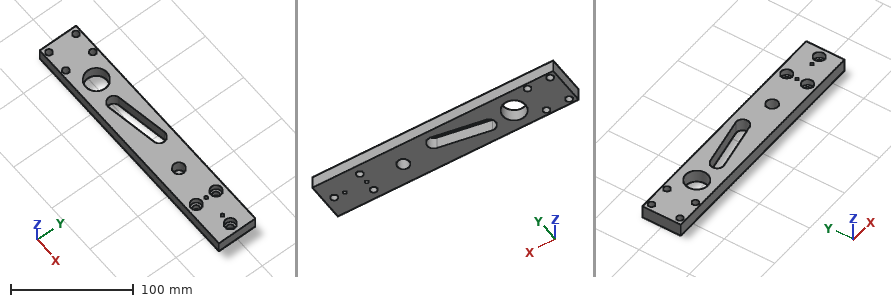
import cadquery as cq
import math

length = 235.0
width = 38.0
thickness = 12.7

corner_hole_diameter = 6.3
corner_hole_offsets = (6.0, 28.2)
corner_hole_half_spacing = 14.0

large_bore = (50.5, 22.0)
small_bore = (158.5, 11.3)

slot_width = 12.5
slot_start_offset = 76.4
slot_start_y = -2.3
slot_end_offset = 125.0
slot_end_y = 6.0

screw_pair_offset = 194.3
screw_pair_half_spacing = 10.3
end_screw_offset = 226.0
screw_diameter = 6.3
counterbore_diameter = 10.8
counterbore_depth = 6.3
dowel_diameter = 3.0
dowel_offsets = (screw_pair_offset, 215.7)


def at(offset, y=0.0):
    """Point at a distance from the left end of the plate."""
    return (offset - length / 2, y)


def cylinders(points, diameter, bottom=0.0):
    """Vertical cutters from the bottom level to the top face."""
    return (
        cq.Workplane("XY", origin=(0, 0, bottom))
        .pushPoints(points)
        .circle(diameter / 2)
        .extrude(thickness - bottom)
    )


def inclined_slot():
    """Through cutter for the slot with round ends."""
    run = slot_end_offset - slot_start_offset
    rise = slot_end_y - slot_start_y
    middle = at(
        (slot_start_offset + slot_end_offset) / 2,
        (slot_start_y + slot_end_y) / 2,
    )
    overall_length = math.hypot(run, rise) + slot_width
    angle = math.degrees(math.atan2(rise, run))
    return (
        cq.Workplane("XY")
        .center(*middle)
        .slot2D(overall_length, slot_width, angle)
        .extrude(thickness)
    )


corner_points = [
    at(offset, side * corner_hole_half_spacing)
    for offset in corner_hole_offsets
    for side in (-1, 1)
]
screw_points = [
    at(screw_pair_offset, -screw_pair_half_spacing),
    at(screw_pair_offset, screw_pair_half_spacing),
    at(end_screw_offset),
]
dowel_points = [at(offset) for offset in dowel_offsets]

result = cq.Workplane("XY").box(length, width, thickness, centered=(True, True, False))
result = result.cut(cylinders(corner_points, corner_hole_diameter))
for bore_offset, bore_diameter in (large_bore, small_bore):
    result = result.cut(cylinders([at(bore_offset)], bore_diameter))
result = result.cut(inclined_slot())
result = result.cut(cylinders(screw_points, screw_diameter))
counterbore_floor = thickness - counterbore_depth
result = result.cut(cylinders(screw_points, counterbore_diameter, counterbore_floor))
result = result.cut(cylinders(dowel_points, dowel_diameter))